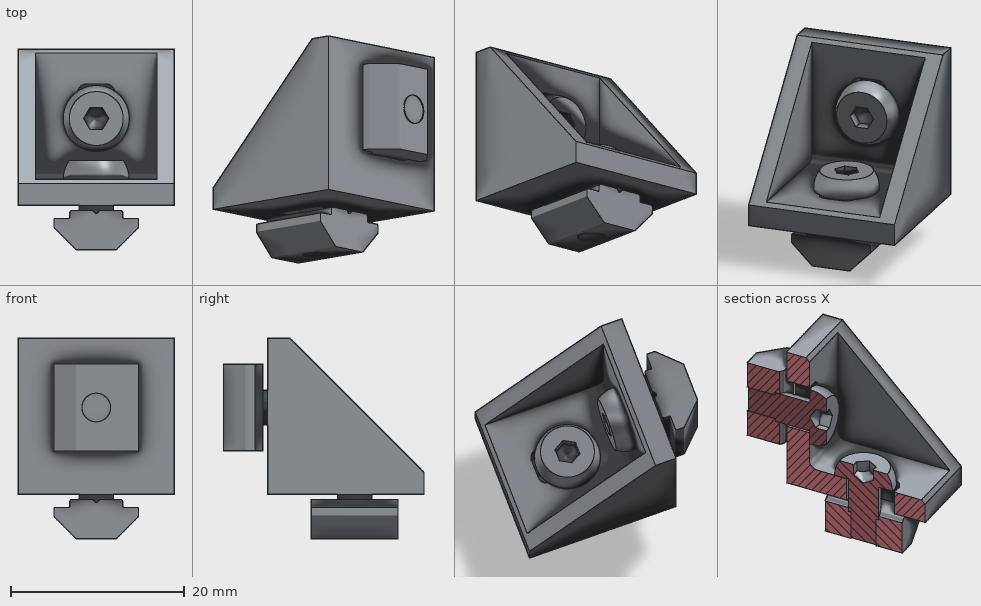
import cadquery as cq
import math

overall = 23.1

leg = 18.0
wall = 3.0
side_wall = 2.0
leg_tip = 2.55
inner_radius = 1.0
screw_offset = 10.0

slot_clearance = 0.16
slot_reach = 4.0
slot_corner = 1.09

shaft_diameter = 4.0
tip_diameter = 3.3
head_diameter = 7.6
head_height = 2.2
screw_length = 8.0
socket_flats = 2.5
socket_depth = 1.3
socket_cone_angle = 118.0

nut_gap = 0.55
nut_length = 10.0
nut_width = 9.77
nut_boss_width = 6.1
nut_boss_height = 0.92
nut_base_width = 4.6
nut_edge_radius = 0.2
boss_edge_radius = 0.28
shoulder_radius = 0.15
groove_depth = 0.45

nut_height = overall - leg - nut_gap
nut_top = -nut_gap
nut_shoulder = nut_top - nut_boss_height
nut_bottom = nut_top - nut_height


def make_bracket():
    """Angle bracket with two legs joined by triangular side walls."""
    outline = [(0, 0), (leg, 0), (leg, leg_tip), (leg_tip, leg), (0, leg)]
    body = cq.Workplane("YZ").polyline(outline).close().extrude(leg / 2, both=True)

    pocket = (
        cq.Workplane("XY")
        .box(leg - 2 * side_wall, leg, leg, centered=(True, False, False))
        .translate((0, wall, wall))
        .edges("|X and <Y and <Z")
        .fillet(inner_radius)
    )
    slot = make_slot()
    return body.cut(pocket).cut(slot).cut(onto_upright_leg(slot))


def make_slot():
    """Slot through the horizontal leg with rounded corners."""
    half_width = shaft_diameter / 2 + slot_clearance
    return (
        cq.Workplane("XY")
        .box(2 * half_width, slot_reach + half_width, wall, centered=(True, False, False))
        .translate((0, screw_offset - half_width, 0))
        .edges("|Z")
        .fillet(slot_corner)
    )


def make_screw():
    """Screw in the horizontal leg, pointing down."""
    seat = cq.Workplane("XY", origin=(0, screw_offset, wall))
    head_blank = seat.circle(head_diameter / 2).extrude(head_height)
    head = seat.sphere(head_diameter / 2).intersect(head_blank)

    shaft = seat.circle(shaft_diameter / 2).extrude(nut_shoulder - wall)
    tip = seat.circle(tip_diameter / 2).extrude(-screw_length)
    return head.union(shaft).union(tip).cut(make_socket())


def make_socket():
    """Hexagon socket with a conical bottom."""
    corner_radius = socket_flats / math.sqrt(3)
    cone_depth = corner_radius / math.tan(math.radians(socket_cone_angle / 2))
    full_depth = socket_depth + cone_depth
    head_top = cq.Workplane("XY", origin=(0, screw_offset, wall + head_height))
    hexagon = head_top.polygon(6, 2 * corner_radius).extrude(-full_depth)
    drill_outline = [(0, 0), (corner_radius, 0), (corner_radius, -socket_depth), (0, -full_depth)]
    drill = (
        cq.Workplane("XZ", origin=(0, screw_offset, wall + head_height))
        .polyline(drill_outline)
        .close()
        .revolve(360, (0, 0), (0, 1))
    )
    return hexagon.intersect(drill)


def make_nut():
    """Nut below the horizontal leg, with its length along Y."""
    slope_start = nut_bottom + (nut_width - nut_base_width) / 2
    right_side = [
        (groove_depth, nut_top),
        (nut_boss_width / 2, nut_top),
        (nut_boss_width / 2, nut_shoulder),
        (nut_width / 2, nut_shoulder),
        (nut_width / 2, slope_start),
        (nut_base_width / 2, nut_bottom),
    ]
    left_side = [(-x, z) for x, z in reversed(right_side)]
    groove_bottom = (0, nut_top - groove_depth)
    body = (
        cq.Workplane("XZ", origin=(0, screw_offset, 0))
        .polyline(right_side + left_side + [groove_bottom])
        .close()
        .extrude(nut_length / 2, both=True)
    )
    body = fillet_nut_edges(body)

    top = cq.Workplane("XY", origin=(0, screw_offset, nut_top))
    shaft_hole = top.circle(shaft_diameter / 2).extrude(-nut_boss_height)
    tip_hole = top.circle(tip_diameter / 2).extrude(-nut_height)
    return body.cut(shaft_hole).cut(tip_hole)


def fillet_nut_edges(body):
    """Round the long edges of the nut, with their own radii at the boss."""

    def is_boss_side(edge):
        return math.isclose(abs(edge.Center().x), nut_boss_width / 2)

    def is_boss_edge(edge):
        return is_boss_side(edge) and math.isclose(edge.Center().z, nut_top)

    def is_shoulder_corner(edge):
        return is_boss_side(edge) and math.isclose(edge.Center().z, nut_shoulder)

    body = body.edges("|Y").filter(lambda edge: not is_boss_side(edge)).fillet(nut_edge_radius)
    body = body.edges("|Y").filter(is_boss_edge).fillet(boss_edge_radius)
    return body.edges("|Y").filter(is_shoulder_corner).fillet(shoulder_radius)


def onto_upright_leg(body):
    """Half turn about the bisector of the legs, which swaps Y and Z."""
    return body.rotate((0, 0, 0), (0, 1, 1), 180)


bracket = make_bracket()
fasteners = []
for body in (make_screw(), make_nut()):
    fasteners.append(body.val())
    fasteners.append(onto_upright_leg(body).val())

result = cq.Compound.makeCompound([bracket.val(), *fasteners])